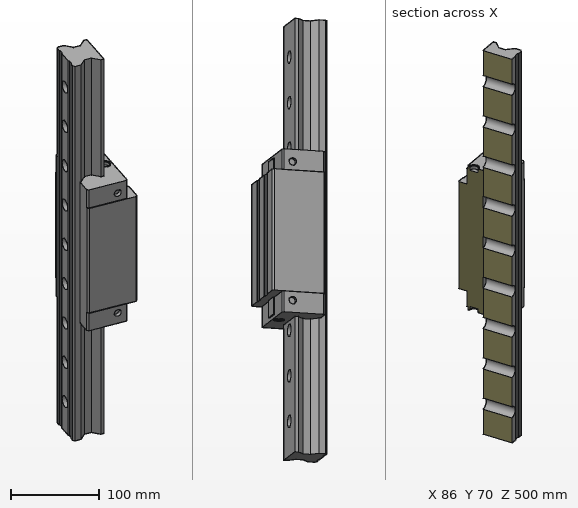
import cadquery as cq

RAIL_LENGTH = 500.0
ASSEMBLY_HEIGHT = 70.0
RAIL_FOOT_Y = -ASSEMBLY_HEIGHT / 2
CARRIAGE_TOP_Y = ASSEMBLY_HEIGHT / 2

RAIL_HALF_WIDTH = 22.5
RAIL_HEIGHT = 38.0
WAIST_DEPTH = 8.0
WAIST_HALF_WIDTH = RAIL_HALF_WIDTH - WAIST_DEPTH
FOOT_SHOULDER_HEIGHT = 9.5
HEAD_EDGE_HEIGHT = 34.0
FOOT_CHAMFER = 2.0
FOOT_GROOVE_INNER = 8.5
FOOT_GROOVE_OUTER = 15.5
FOOT_GROOVE_DEPTH = 1.0

HOLE_COUNT = 9
HOLE_PITCH = 52.5
HOLE_DIAMETER = 14.0

CARRIAGE_CLEARANCE = 8.0
CARRIAGE_BOTTOM_Y = RAIL_FOOT_Y + CARRIAGE_CLEARANCE
BLOCK_WIDTH = 86.0
BLOCK_LENGTH = 140.0
BLOCK_TOP_CHAMFER = 2.0
BOTTOM_CHAMFER = 2.0
TOP_GROOVE_INNER = 9.0
TOP_GROOVE_OUTER = 20.5
TOP_GROOVE_DEPTH = 1.0

CAP_LENGTH = 24.0
CAP_WIDTH = 83.5
CAP_HEIGHT = 50.0
CAP_TOP_CHAMFER = 1.5
PAD_WIDTH = 20.5
PAD_HEIGHT = 1.5
PAD_LENGTH = 20.0

END_PORT_DIAMETER = 10.0
END_PORT_DEPTH = 5.0
END_RECESS_DIAMETER = 12.5
END_RECESS_DEPTH = 1.0
END_PORT_Y = 15.0
SIDE_PORT_DIAMETER = 8.5
SIDE_PORT_DEPTH = 5.0
SIDE_PORT_Y = 11.0
SIDE_PORT_FROM_BLOCK = 10.0


def extrude_centered(points, length):
    """Closed XY outline extruded along Z, half to each side of Z = 0."""
    return cq.Workplane("XY").polyline(points).close().extrude(length / 2, both=True)


def box_between(x_range, y_range, z_range):
    """Box filling the given (low, high) ranges."""
    size = [high - low for low, high in (x_range, y_range, z_range)]
    corner = (x_range[0], y_range[0], z_range[0])
    return cq.Workplane("XY").box(*size, centered=False).translate(corner)


def mirrored(right_half):
    """Complete a symmetric outline from its +X half, listed from bottom to top."""
    return right_half + [(-x, y) for x, y in reversed(right_half)]


def make_rail_profile():
    """Full-length rail without its mounting holes; all of its slopes are at 45 degrees."""
    right_half = [
        (FOOT_GROOVE_INNER, 0),
        (FOOT_GROOVE_INNER + FOOT_GROOVE_DEPTH, FOOT_GROOVE_DEPTH),
        (FOOT_GROOVE_OUTER - FOOT_GROOVE_DEPTH, FOOT_GROOVE_DEPTH),
        (FOOT_GROOVE_OUTER, 0),
        (RAIL_HALF_WIDTH - FOOT_CHAMFER, 0),
        (RAIL_HALF_WIDTH, FOOT_CHAMFER),
        (RAIL_HALF_WIDTH, FOOT_SHOULDER_HEIGHT),
        (WAIST_HALF_WIDTH, FOOT_SHOULDER_HEIGHT + WAIST_DEPTH),
        (WAIST_HALF_WIDTH, HEAD_EDGE_HEIGHT - WAIST_DEPTH),
        (RAIL_HALF_WIDTH, HEAD_EDGE_HEIGHT),
        (RAIL_HALF_WIDTH, RAIL_HEIGHT),
    ]
    return extrude_centered(mirrored(right_half), RAIL_LENGTH).translate((0, RAIL_FOOT_Y, 0))


def make_rail(profile):
    """Rail with its row of through holes along Y."""
    holes = (
        cq.Workplane("XZ")
        .rarray(5, HOLE_PITCH, 1, HOLE_COUNT)
        .circle(HOLE_DIAMETER / 2)
        .extrude(ASSEMBLY_HEIGHT, both=True)
    )
    return profile.cut(holes)


def make_block():
    """Middle of the carriage, with two shallow grooves along its top face."""
    half_width = BLOCK_WIDTH / 2
    groove_floor = CARRIAGE_TOP_Y - TOP_GROOVE_DEPTH
    right_half = [
        (half_width - BOTTOM_CHAMFER, CARRIAGE_BOTTOM_Y),
        (half_width, CARRIAGE_BOTTOM_Y + BOTTOM_CHAMFER),
        (half_width, CARRIAGE_TOP_Y - BLOCK_TOP_CHAMFER),
        (half_width - BLOCK_TOP_CHAMFER, CARRIAGE_TOP_Y),
        (TOP_GROOVE_OUTER, CARRIAGE_TOP_Y),
        (TOP_GROOVE_OUTER - TOP_GROOVE_DEPTH, groove_floor),
        (TOP_GROOVE_INNER + TOP_GROOVE_DEPTH, groove_floor),
        (TOP_GROOVE_INNER, CARRIAGE_TOP_Y),
    ]
    return extrude_centered(mirrored(right_half), BLOCK_LENGTH)


def make_caps():
    """Both end caps as one bar that passes through the block from end to end."""
    half_width = CAP_WIDTH / 2
    top = CARRIAGE_BOTTOM_Y + CAP_HEIGHT
    right_half = [
        (half_width - BOTTOM_CHAMFER, CARRIAGE_BOTTOM_Y),
        (half_width, CARRIAGE_BOTTOM_Y + BOTTOM_CHAMFER),
        (half_width, top - CAP_TOP_CHAMFER),
        (half_width - CAP_TOP_CHAMFER, top),
    ]
    bar = extrude_centered(mirrored(right_half), BLOCK_LENGTH + 2 * CAP_LENGTH)
    pad_end = BLOCK_LENGTH / 2 + PAD_LENGTH
    pads = box_between(
        (-PAD_WIDTH / 2, PAD_WIDTH / 2), (CARRIAGE_BOTTOM_Y, top + PAD_HEIGHT), (-pad_end, pad_end)
    )
    return bar.union(pads)


def bore(diameter, depth, mouth, direction):
    """Cylinder that starts at its mouth and goes into the material."""
    cylinder = cq.Solid.makeCylinder(diameter / 2, depth, cq.Vector(*mouth), cq.Vector(*direction))
    return cq.Workplane(cylinder)


def cut_ports(carriage):
    """Blind ports: a stepped one in each end face and a plain one in each side of each cap."""
    end_z = BLOCK_LENGTH / 2 + CAP_LENGTH
    side_port_z = BLOCK_LENGTH / 2 + SIDE_PORT_FROM_BLOCK
    for end in (-1, 1):
        mouth = (0, END_PORT_Y, end * end_z)
        inward = (0, 0, -end)
        carriage = carriage.cut(bore(END_RECESS_DIAMETER, END_RECESS_DEPTH, mouth, inward))
        carriage = carriage.cut(bore(END_PORT_DIAMETER, END_PORT_DEPTH, mouth, inward))
        for side in (-1, 1):
            mouth = (side * CAP_WIDTH / 2, SIDE_PORT_Y, end * side_port_z)
            inward = (-side, 0, 0)
            carriage = carriage.cut(bore(SIDE_PORT_DIAMETER, SIDE_PORT_DEPTH, mouth, inward))
    return carriage


def make_carriage(rail_profile):
    """Block and end caps in one piece, with a channel that fits the rail."""
    carriage = make_block().union(make_caps()).cut(rail_profile)
    return cut_ports(carriage)


rail_profile = make_rail_profile()
rail = make_rail(rail_profile)
carriage = make_carriage(rail_profile)

result = cq.Compound.makeCompound([rail.val(), *carriage.vals()])